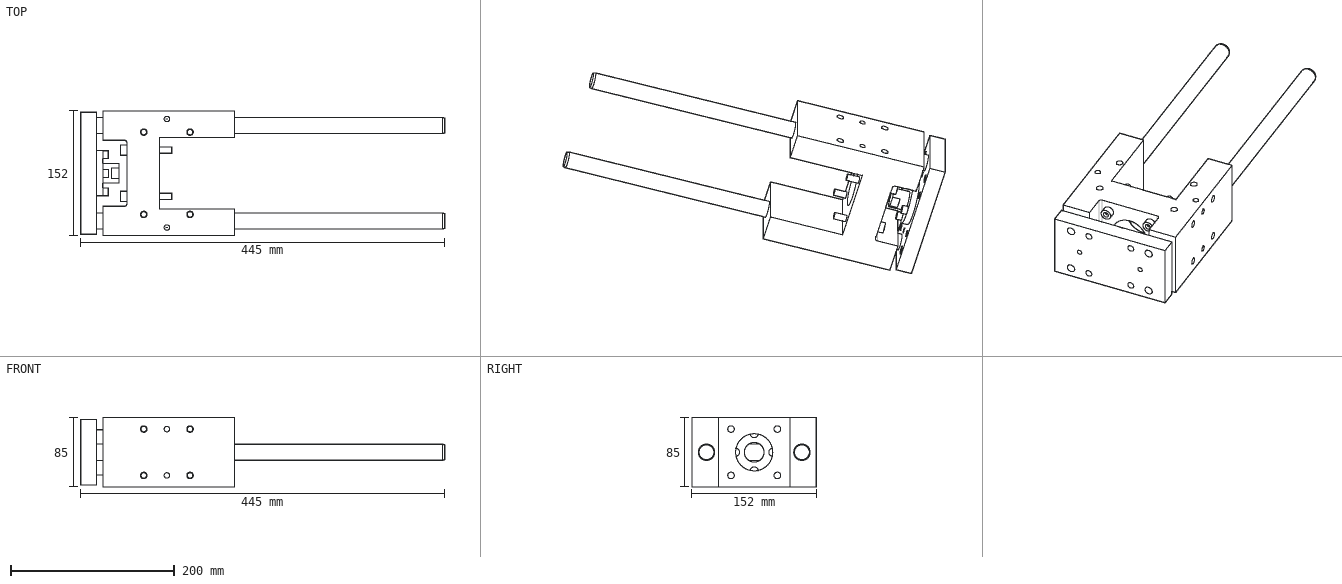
import cadquery as cq
import math

LENGTH = 445.0
HOUSING_WIDTH = 152.0
HOUSING_HEIGHT = 85.0

HOUSING_FRONT = 27.0
HOUSING_LENGTH = 161.0
WEB_FRONT = 56.5
WEB_THICKNESS = 40.0
WEB_REAR = WEB_FRONT + WEB_THICKNESS
FRONT_POCKET_WIDTH = 80.5
REAR_POCKET_WIDTH = 87.0
POCKET_FILLET = 3.0
WEB_BORE_DIAMETER = 45.5

WEB_SCREW_CIRCLE_RADIUS = 40.0
WEB_SCREW_OFFSET = WEB_SCREW_CIRCLE_RADIUS / math.sqrt(2)
WEB_SCREW_DIAMETER = 8.0
WEB_SCREW_REACH = 15.0
WEB_HEAD_DIAMETER = 13.0
WEB_HEAD_LENGTH = 8.0
SOCKET_DIAMETER = 6.5
SOCKET_DEPTH = 4.5

MOUNT_X = 105.5
MOUNT_PITCH = 56.5
SIDE_HOLE_Z = WEB_SCREW_OFFSET
TOP_SCREW_Y = 50.5
TOP_DOWEL_Y = 66.5
THREAD_DIAMETER = 8.0
THREAD_DEPTH = 13.5
CORE_DIAMETER = 6.5
CORE_DEPTH = 16.0
DRILL_POINT_ANGLE = 118
DOWEL_DIAMETER = 6.5
DOWEL_DEPTH = 10.0

PLATE_THICKNESS = 19.5
PLATE_WIDTH = 149.5
PLATE_HEIGHT = 80.0
ROD_DIAMETER = 20.0
ROD_Y = 58.5
ROD_CHAMFER_LENGTH = 2.5
ROD_CHAMFER_HEIGHT = 1.0
PLATE_HOLE_Z = WEB_SCREW_OFFSET
LARGE_HOLE_Y = 52.5
LARGE_HOLE_DIAMETER = 10.0
SMALL_HOLE_Y = WEB_SCREW_OFFSET
SMALL_HOLE_DIAMETER = 8.0
PIN_HOLE_Y = 41.0
PIN_HOLE_DIAMETER = 6.0

FLANGE_DIAMETER = 55.5
FLANGE_THICKNESS = 7.5
COUPLING_DIAMETER = 24.0
COUPLING_LENGTH = 20.0
FLAT_LENGTH = 9.5
FLAT_ACROSS = 20.5
FLANGE_SCREW_RADIUS = 22.5
FLANGE_HEAD_DIAMETER = 10.0
FLANGE_HEAD_LENGTH = 6.5

HALF_WIDTH = HOUSING_WIDTH / 2
HALF_HEIGHT = HOUSING_HEIGHT / 2
SIGNS = (-1, 1)


def cylinder_x(start, length, diameter, y=0.0, z=0.0):
    """Cylinder along +X."""
    return cq.Workplane("YZ", origin=(start, y, z)).circle(diameter / 2).extrude(length)


def corner_points(a, b):
    """Four corners of a rectangle centred on the X axis, as (Y, Z)."""
    return [(sign_a * a, sign_b * b) for sign_a in SIGNS for sign_b in SIGNS]


def block(start, length, width, height):
    """Box starting at X = start, centred on the X axis."""
    return cq.Workplane("XY").box(length, width, height).translate((start + length / 2, 0, 0))


def threaded_hole():
    """Blind hole going down from the origin: thread, narrower core and drill point."""
    thread_radius = THREAD_DIAMETER / 2
    core_radius = CORE_DIAMETER / 2
    tip_depth = CORE_DEPTH + core_radius / math.tan(math.radians(DRILL_POINT_ANGLE / 2))
    return (
        cq.Workplane("XZ")
        .polyline([
            (0, 0),
            (thread_radius, 0),
            (thread_radius, -THREAD_DEPTH),
            (core_radius, -THREAD_DEPTH),
            (core_radius, -CORE_DEPTH),
            (0, -tip_depth),
        ])
        .close()
        .revolve(360, (0, 0, 0), (0, 1, 0))
    )


def dowel_hole():
    """Flat-bottomed blind hole going down from the origin."""
    return cq.Workplane("XY").circle(DOWEL_DIAMETER / 2).extrude(-DOWEL_DEPTH)


def mounting_holes():
    screw_xs = [MOUNT_X - MOUNT_PITCH / 2, MOUNT_X + MOUNT_PITCH / 2]
    holes = []
    for sign in SIGNS:
        for x in screw_xs:
            holes.append(threaded_hole().translate((x, sign * TOP_SCREW_Y, HALF_HEIGHT)))
        holes.append(dowel_hole().translate((MOUNT_X, sign * TOP_DOWEL_Y, HALF_HEIGHT)))

    for side in SIGNS:
        side_thread = threaded_hole().rotate((0, 0, 0), (1, 0, 0), -90 * side)
        side_dowel = dowel_hole().rotate((0, 0, 0), (1, 0, 0), -90 * side)
        for z in (-SIDE_HOLE_Z, SIDE_HOLE_Z):
            for x in screw_xs:
                holes.append(side_thread.translate((x, side * HALF_WIDTH, z)))
            holes.append(side_dowel.translate((MOUNT_X, side * HALF_WIDTH, z)))
    return holes


def make_block():
    """H-shaped block with its rod holes and the bore through the web."""
    front_depth = WEB_FRONT - HOUSING_FRONT
    rear_depth = HOUSING_LENGTH - front_depth - WEB_THICKNESS
    body = block(HOUSING_FRONT, HOUSING_LENGTH, HOUSING_WIDTH, HOUSING_HEIGHT)
    front_pocket = block(HOUSING_FRONT, front_depth, FRONT_POCKET_WIDTH, HOUSING_HEIGHT)
    front_pocket = front_pocket.edges("|Z and >X").fillet(POCKET_FILLET)
    rear_pocket = block(WEB_REAR, rear_depth, REAR_POCKET_WIDTH, HOUSING_HEIGHT)
    body = body.cut(front_pocket).cut(rear_pocket)
    body = body.cut(cylinder_x(WEB_FRONT, WEB_THICKNESS, WEB_BORE_DIAMETER))
    for side in SIGNS:
        body = body.cut(cylinder_x(HOUSING_FRONT, HOUSING_LENGTH, ROD_DIAMETER, side * ROD_Y))
    return body


def make_housing():
    body = make_block()
    for hole in mounting_holes():
        body = body.cut(hole)

    head_front = WEB_FRONT - WEB_HEAD_LENGTH
    for y, z in corner_points(WEB_SCREW_OFFSET, WEB_SCREW_OFFSET):
        head = cylinder_x(head_front, WEB_HEAD_LENGTH, WEB_HEAD_DIAMETER, y, z)
        socket = cylinder_x(head_front, SOCKET_DEPTH, SOCKET_DIAMETER, y, z)
        tip = cylinder_x(WEB_REAR, WEB_SCREW_REACH, WEB_SCREW_DIAMETER, y, z)
        body = body.union(head.cut(socket)).union(tip)
    return body


def make_coupling():
    """Flange with four screw heads and a round nose with wrench flats."""
    flange_rear = PLATE_THICKNESS + FLANGE_THICKNESS
    nose_rear = flange_rear + COUPLING_LENGTH
    coupling = cylinder_x(PLATE_THICKNESS, FLANGE_THICKNESS, FLANGE_DIAMETER)
    nose = cylinder_x(flange_rear, COUPLING_LENGTH, COUPLING_DIAMETER)
    flat_zone = block(nose_rear - FLAT_LENGTH, FLAT_LENGTH, COUPLING_DIAMETER, COUPLING_DIAMETER)
    between_flats = block(nose_rear - FLAT_LENGTH, FLAT_LENGTH, COUPLING_DIAMETER, FLAT_ACROSS)
    coupling = coupling.union(nose.cut(flat_zone.cut(between_flats)))
    for sign in SIGNS:
        for y, z in [(sign * FLANGE_SCREW_RADIUS, 0), (0, sign * FLANGE_SCREW_RADIUS)]:
            head = cylinder_x(flange_rear, FLANGE_HEAD_LENGTH, FLANGE_HEAD_DIAMETER, y, z)
            coupling = coupling.union(head)
    return coupling


def make_rod():
    """Guide rod on the X axis, from the back of the plate to a chamfered free end."""
    radius = ROD_DIAMETER / 2
    return (
        cq.Workplane("XY")
        .polyline([
            (PLATE_THICKNESS, 0),
            (PLATE_THICKNESS, radius),
            (LENGTH - ROD_CHAMFER_LENGTH, radius),
            (LENGTH, radius - ROD_CHAMFER_HEIGHT),
            (LENGTH, 0),
        ])
        .close()
        .revolve(360, (0, 0, 0), (1, 0, 0))
    )


def make_slide():
    plate = block(0, PLATE_THICKNESS, PLATE_WIDTH, PLATE_HEIGHT)
    hole_groups = [
        (LARGE_HOLE_DIAMETER, corner_points(LARGE_HOLE_Y, PLATE_HOLE_Z)),
        (SMALL_HOLE_DIAMETER, corner_points(SMALL_HOLE_Y, PLATE_HOLE_Z)),
        (PIN_HOLE_DIAMETER, [(-PIN_HOLE_Y, 0), (PIN_HOLE_Y, 0)]),
    ]
    for diameter, places in hole_groups:
        for y, z in places:
            plate = plate.cut(cylinder_x(0, PLATE_THICKNESS, diameter, y, z))

    slide = plate.union(make_coupling())
    for side in SIGNS:
        slide = slide.union(make_rod().translate((0, side * ROD_Y, 0)))
    return slide


housing = make_housing()
slide = make_slide()

result = cq.Compound.makeCompound([housing.val(), slide.val()])